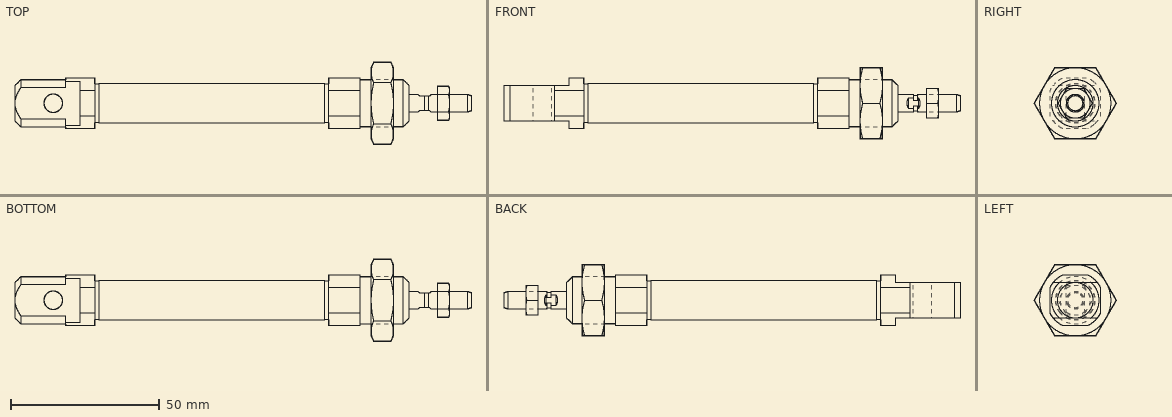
import cadquery as cq
import math


total_length = 154.0
square_start = 17.1
flat_cut_end = 21.9
rear_block_end = 27.0
tube_start = 28.3
tube_end = 104.4
front_block_start = 105.8
front_block_end = 116.5
mount_nut_start = 120.1
nose_end = 132.9
flats_start = 136.5
groove_start = 138.1
rod_nut_start = 142.5

block_width = 17.1
block_round_diameter = 19.1
thread_diameter = 16.0
end_chamfer = 2.0
neck_diameter = 13.1
tongue_thickness = 12.0
pivot_hole_diameter = 6.2
pivot_x = 13.0

tube_diameter = 13.4

rod_diameter = 6.0
rod_tip_chamfer_length = 1.4
rod_tip_chamfer_depth = 0.5
groove_width = 1.4
groove_diameter = 5.2
wrench_flat_width = 5.0
wrench_flat_length = 3.4

mount_nut_width = 24.0
mount_nut_thickness = 7.5
rod_nut_width = 10.0
rod_nut_thickness = 4.2
nut_chamfer_angle = math.radians(25)


def cross_section(x):
    """Workplane across the axis at x, with local x along Y and local y along Z."""
    return cq.Workplane("YZ", origin=(x, 0, 0))


def cylinder(x, diameter, length):
    return cross_section(x).circle(diameter / 2).extrude(length)


def turned(profile):
    """Solid of revolution about the X axis from (x, radius) points."""
    return cq.Workplane("XZ").polyline(profile).close().revolve(360, (0, 0, 0), (1, 0, 0))


def square_block(x, length):
    """Square block whose corners are rounded by a larger cylinder."""
    square = cross_section(x).rect(block_width, block_width).extrude(length)
    return square.intersect(cylinder(x, block_round_diameter, length))


def make_rear_cap():
    tongue = cylinder(0, thread_diameter, square_start).faces("<X").chamfer(end_chamfer)
    cap = tongue.union(square_block(square_start, rear_block_end - square_start))
    cap = cap.union(cylinder(rear_block_end, neck_diameter, tube_start - rear_block_end))
    flat_depth = (block_width - tongue_thickness) / 2
    for side in (1, -1):
        flat_cut = cq.Workplane("XY").box(
            flat_cut_end, block_width, flat_depth, centered=(False, True, True)
        )
        cap = cap.cut(flat_cut.translate((0, 0, side * (tongue_thickness + flat_depth) / 2)))
    pivot_hole = (
        cq.Workplane("XY").center(pivot_x, 0).circle(pivot_hole_diameter / 2)
        .extrude(tongue_thickness, both=True)
    )
    return cap.cut(pivot_hole)


def make_tube():
    return cylinder(tube_start, tube_diameter, tube_end - tube_start)


def make_front_cap():
    neck = cylinder(tube_end, neck_diameter, front_block_start - tube_end)
    block = square_block(front_block_start, front_block_end - front_block_start)
    thread = cylinder(front_block_end, thread_diameter, nose_end - front_block_end)
    thread = thread.faces(">X").chamfer(end_chamfer)
    return neck.union(block).union(thread)


def make_rod():
    radius = rod_diameter / 2
    rod = turned([
        (nose_end, 0),
        (nose_end, radius),
        (groove_start, radius),
        (groove_start, groove_diameter / 2),
        (groove_start + groove_width, groove_diameter / 2),
        (groove_start + groove_width, radius),
        (total_length - rod_tip_chamfer_length, radius),
        (total_length, radius - rod_tip_chamfer_depth),
        (total_length, 0),
    ])
    flats_end = flats_start + wrench_flat_length
    flat_y = wrench_flat_width / 2
    slope = radius - flat_y
    for side in (1, -1):
        flat_cut = (
            cq.Workplane("XY")
            .polyline([
                (flats_start, side * flat_y),
                (flats_end, side * flat_y),
                (flats_end + slope, side * radius),
                (flats_start - slope, side * radius),
            ])
            .close()
            .extrude(radius, both=True)
        )
        rod = rod.cut(flat_cut)
    return rod


def make_nut(x, width, thickness, bore, chamfer_rear):
    """Hexagon nut with flats up and down; the front corners are always chamfered."""
    corner_diameter = width / math.cos(math.pi / 6)
    hexagon = cross_section(x).polygon(6, corner_diameter).extrude(thickness)
    chamfer_length = (corner_diameter - width) / 2 * math.tan(nut_chamfer_angle)
    rear_diameter = width if chamfer_rear else corner_diameter
    envelope = turned([
        (x, 0),
        (x, rear_diameter / 2),
        (x + chamfer_length, corner_diameter / 2),
        (x + thickness - chamfer_length, corner_diameter / 2),
        (x + thickness, width / 2),
        (x + thickness, 0),
    ])
    return hexagon.intersect(envelope).cut(cylinder(x, bore, thickness))


rear_cap = make_rear_cap()
tube = make_tube()
front_cap = make_front_cap()
rod = make_rod()
mount_nut = make_nut(mount_nut_start, mount_nut_width, mount_nut_thickness, thread_diameter, True)
rod_nut = make_nut(rod_nut_start, rod_nut_width, rod_nut_thickness, rod_diameter, False)

result = cq.Compound.makeCompound([
    rear_cap.val(),
    tube.val(),
    front_cap.val(),
    rod.val(),
    mount_nut.val(),
    rod_nut.val(),
])